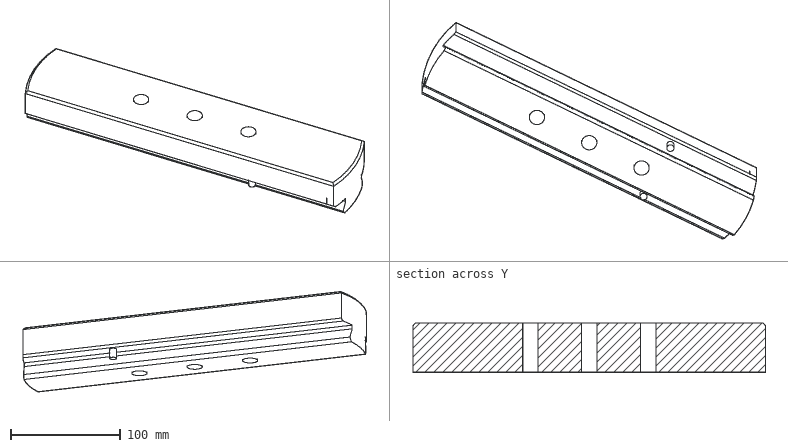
import cadquery as cq

length = 322.5
head_width = 68.0
height = 45.0
end_bulge = 6.5

head_bottom = 16.5
edge_chamfer = 2.3
neck_width = 35.5
neck_bottom = 13.0
dovetail_width = 43.2
dovetail_edge_height = 4.0
foot_width = 38.0

hole_diameter = 14.0
hole_pitch = 54.0

pin_diameter = 6.5
pin_x = 69.7
pin_bottom = 7.7
pin_spacing = 53.5

mark_x = 147.7
mark_top = 25.5
mark_width = 0.3
mark_depth = 0.3


def make_section():
    """Symmetrical head and dovetail profile, extruded over the full length."""
    half_profile = [
        (foot_width / 2, 0),
        (dovetail_width / 2, dovetail_edge_height),
        (neck_width / 2, neck_bottom),
        (neck_width / 2, head_bottom),
        (head_width / 2 - edge_chamfer, head_bottom),
        (head_width / 2, head_bottom + edge_chamfer),
        (head_width / 2, height),
    ]
    mirrored = [(-y, z) for y, z in reversed(half_profile)]
    return (
        cq.Workplane("YZ")
        .polyline(half_profile + mirrored)
        .close()
        .extrude(length / 2, both=True)
    )


def make_plan():
    """Plan outline with convex arc ends; its top rim is chamfered all round."""
    corner_x = length / 2 - end_bulge
    corner_y = head_width / 2
    return (
        cq.Workplane("XY")
        .moveTo(-corner_x, -corner_y)
        .lineTo(corner_x, -corner_y)
        .threePointArc((length / 2, 0), (corner_x, corner_y))
        .lineTo(-corner_x, corner_y)
        .threePointArc((-length / 2, 0), (-corner_x, -corner_y))
        .close()
        .extrude(height)
        .faces(">Z")
        .chamfer(edge_chamfer)
    )


def make_holes():
    return (
        cq.Workplane("XY")
        .rarray(hole_pitch, 3.2, 3, 1)
        .circle(hole_diameter / 2)
        .extrude(height)
    )


def make_pins():
    return (
        cq.Workplane("XY", origin=(pin_x, 0, pin_bottom))
        .rarray(3.2, pin_spacing, 1, 2)
        .circle(pin_diameter / 2)
        .extrude(head_bottom - pin_bottom)
    )


def make_index_mark():
    mark_bottom = head_bottom + edge_chamfer
    return (
        cq.Workplane("XY", origin=(mark_x, -head_width / 2, mark_bottom))
        .box(mark_width, 2 * mark_depth, mark_top - mark_bottom, centered=(True, True, False))
    )


bar = make_section().intersect(make_plan())
result = bar.cut(make_holes()).union(make_pins()).cut(make_index_mark())